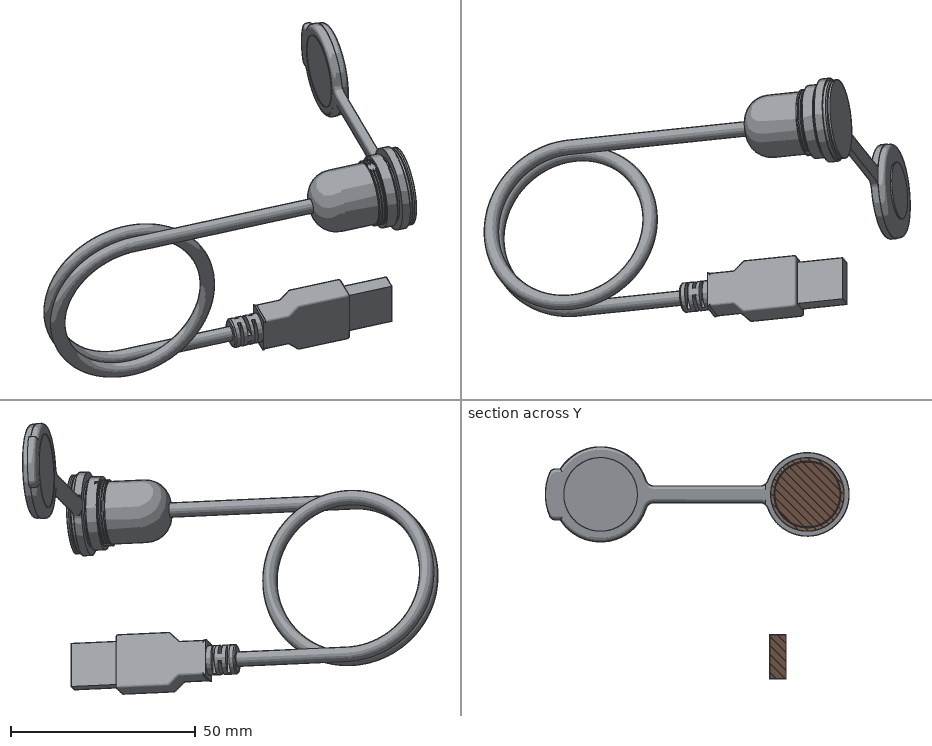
import cadquery as cq
import math


rim_front_y = -0.4
seam_y = -1.3
ring_front_y = -2.4
ring_back_y = -4.7
nut_front_y = -5.6
nut_back_y = -8.5
thread_end_y = -10.5
dome_start_y = -20.1
dome_end_y = -26.9
cable_end_y = -101.3

flange_diameter = 21.5
gasket_diameter = 21.6
seam_chamfer = 0.35
thread_diameter = 18.0
thread_root_diameter = 17.6
thread_turns = 8
thread_flat_gap = 17.5
nut_diameter = 20.0
nut_notch_width = 0.9
nut_notch_depth = 0.9
nut_notch_length = 1.0
nut_notch_angle = 45
boot_diameter = 17.0

cable_diameter = 4.0
cable_seat_depth = 2.0
coil_radius = 22.0
coil_turns = 1.5
coil_centre_y = cable_end_y + coil_radius + cable_diameter / 2
plug_x = -8.0
plug_z = -2 * coil_radius

cap_x = -56.0
cap_diameter = 25.8
cap_rim_diameter = 25.5
cap_rim_fillet = 1.0
cap_plug_diameter = 15.5
cap_badge_diameter = 20.0
cap_badge_depth = 0.2
tab_radius = 15.0
tab_width = 13.9
tab_corner_radius = 1.8
strap_width = 4.6
strap_flare_radius = 2.2
plate_fillet = 1.1
ring_diameter = 22.7

shell_front_y = -1.6
grip_front_y = -14.3
taper_start_y = -29.1
taper_end_y = -31.8
lip_start_y = -38.5
grip_back_y = -39.2
relief_back_y = -47.2
shell_width = 4.5
shell_height = 12.0
grip_width = 8.0
grip_height = 15.1
grip_neck_height = 9.8
grip_fillet = 0.7
grip_lip_rise = 0.25
relief_diameter = 8.0
relief_web_width = 2.0
relief_slot_width = 0.9
relief_slots_y = (-41.1, -43.1, -45.2)
relief_edge_chamfer = 0.4


def plane_at(y, x=0, z=0):
    """Plane facing +Y, with local axes (X, -Z)."""
    return cq.Workplane(cq.Plane(origin=(x, y, z), xDir=(1, 0, 0), normal=(0, 1, 0)))


def disc(diameter, front_y, back_y, x=0, z=0):
    """Cylinder along Y between two stations."""
    return plane_at(back_y, x, z).circle(diameter / 2).extrude(front_y - back_y)


def block(x_size, z_size, front_y, back_y, x=0, z=0):
    """Box centred on (x, z) between two stations along Y."""
    return plane_at(back_y, x, z).rect(x_size, z_size).extrude(front_y - back_y)


def make_tether_plate():
    tab = disc(2 * tab_radius, ring_front_y, ring_back_y, cap_x).intersect(
        block(2 * tab_radius, tab_width, ring_front_y, ring_back_y, cap_x - tab_radius)
    )
    tab = tab.edges("|Y").edges("<X").fillet(tab_corner_radius)

    strap = block(-cap_x, strap_width, ring_front_y, ring_back_y, cap_x / 2)
    cap_disc = disc(cap_diameter, ring_front_y, ring_back_y, cap_x)
    ring = disc(ring_diameter, ring_front_y, ring_back_y)
    plate = cap_disc.union(strap).union(ring)
    plate = plate.edges("|Y").edges(
        cq.selectors.BoxSelector(
            (cap_x, ring_back_y, -strap_width), (0, ring_front_y, strap_width)
        )
    ).fillet(strap_flare_radius)
    plate = plate.union(tab)

    ring_box = block(ring_diameter, 2 * ring_diameter, ring_front_y, ring_back_y)
    ring_part = plate.intersect(ring_box)
    cap_part = plate.cut(ring_box)
    cap_part = cap_part.faces("<Y").edges("not >X").fillet(plate_fillet)
    return cap_part.union(ring_part)


def make_cap():
    rim = disc(cap_rim_diameter, rim_front_y, ring_front_y, cap_x).faces(">Y").edges().fillet(cap_rim_fillet)
    plug_face = disc(cap_plug_diameter, 0, rim_front_y, cap_x)
    badge_recess = disc(cap_badge_diameter, ring_back_y + cap_badge_depth, ring_back_y, cap_x)
    socket_hole = disc(thread_diameter, ring_front_y, ring_back_y)
    return make_tether_plate().union(rim).union(plug_face).cut(badge_recess).cut(socket_hole)


def make_housing():
    flange = disc(flange_diameter, rim_front_y, seam_y).faces("<Y").edges().chamfer(seam_chamfer)

    pitch = (ring_back_y - thread_end_y) / thread_turns
    crest = thread_diameter / 2
    root = thread_root_diameter / 2
    barrel = cq.Workplane("XY").moveTo(0, seam_y).lineTo(crest, seam_y).lineTo(crest, ring_back_y)
    for turn in range(thread_turns):
        turn_y = ring_back_y - turn * pitch
        barrel = barrel.lineTo(root, turn_y - pitch / 2).lineTo(crest, turn_y - pitch)
    barrel = barrel.lineTo(0, thread_end_y).close().revolve(360, (0, 0, 0), (0, 1, 0))

    flat_gauge = block(2 * thread_diameter, thread_flat_gap, ring_back_y, thread_end_y)
    plain_neck = disc(thread_diameter, seam_y, ring_back_y)
    return barrel.intersect(flat_gauge.union(plain_neck)).union(flange)


def make_gasket():
    gasket = disc(gasket_diameter, seam_y, ring_front_y).faces(">Y").edges().chamfer(seam_chamfer)
    return gasket.cut(disc(thread_diameter, seam_y, ring_front_y))


def make_nut():
    nut = disc(nut_diameter, nut_front_y, nut_back_y)
    notch = block(
        nut_notch_width,
        2 * nut_notch_depth,
        nut_back_y + nut_notch_length,
        nut_back_y,
        z=nut_diameter / 2,
    ).rotate((0, 0, 0), (0, 1, 0), -nut_notch_angle)
    return nut.cut(disc(thread_diameter, nut_front_y, nut_back_y)).cut(notch)


def make_boot():
    radius = boot_diameter / 2
    dome_radius = dome_start_y - dome_end_y
    flat_radius = radius - dome_radius
    arc_middle = (
        flat_radius + dome_radius * math.cos(math.pi / 4),
        dome_start_y - dome_radius * math.sin(math.pi / 4),
    )
    boot = (
        cq.Workplane("XY")
        .moveTo(0, thread_end_y)
        .lineTo(radius, thread_end_y)
        .lineTo(radius, dome_start_y)
        .threePointArc(arc_middle, (flat_radius, dome_end_y))
        .lineTo(0, dome_end_y)
        .close()
        .revolve(360, (0, 0, 0), (0, 1, 0))
    )
    return boot.cut(disc(cable_diameter, dome_end_y + cable_seat_depth, dome_end_y))


def make_cable():
    coil_width = -plug_x
    helix = cq.Wire.makeHelix(coil_width / coil_turns, coil_width, coil_radius, lefthand=True)
    coil_plane = cq.Plane(origin=(0, coil_centre_y, -coil_radius), xDir=(0, 0, 1), normal=(-1, 0, 0))
    path = cq.Workplane(obj=helix.located(cq.Location(coil_plane)))
    coil = plane_at(coil_centre_y).circle(cable_diameter / 2).sweep(path, isFrenet=True)
    socket_lead = disc(cable_diameter, dome_end_y + cable_seat_depth, coil_centre_y)
    plug_lead = disc(cable_diameter, relief_back_y, coil_centre_y, plug_x, plug_z)
    return coil.union(socket_lead).union(plug_lead)


def make_plug_grip():
    half = grip_height / 2
    neck_half = grip_neck_height / 2
    grip = (
        cq.Workplane("YZ", origin=(plug_x, 0, plug_z))
        .polyline(
            [
                (grip_front_y, half),
                (taper_start_y, half),
                (taper_end_y, neck_half),
                (lip_start_y, neck_half),
                (lip_start_y, -neck_half),
                (taper_end_y, -neck_half),
                (taper_start_y, -half),
                (grip_front_y, -half),
            ]
        )
        .close()
        .extrude(grip_width / 2, both=True)
    )
    grip = grip.edges("not <Y").fillet(grip_fillet)

    lip_length = lip_start_y - grip_back_y
    lip_angle = math.degrees(math.atan2(grip_lip_rise, lip_length))
    grip = grip.faces("<Y").wires().toPending().workplane().extrude(lip_length, taper=-lip_angle)
    grip = grip.intersect(block(grip_width, grip_height, grip_front_y, grip_back_y, plug_x, plug_z))

    relief = disc(relief_diameter, grip_back_y, relief_back_y, plug_x, plug_z)
    relief = relief.faces("<Y").edges().chamfer(relief_edge_chamfer)
    for index, slot_y in enumerate(relief_slots_y):
        slot_front = slot_y + relief_slot_width / 2
        slot_back = slot_y - relief_slot_width / 2
        slot = block(2 * relief_diameter, 2 * relief_diameter, slot_front, slot_back, plug_x, plug_z)
        if index % 2 == 0:
            web_size = (relief_web_width, relief_diameter)
        else:
            web_size = (relief_diameter, relief_web_width)
        web = block(*web_size, slot_front, slot_back, plug_x, plug_z)
        relief = relief.cut(slot.cut(web))
    return grip.union(relief)


def make_plug_shell():
    return block(shell_width, shell_height, shell_front_y, grip_front_y, plug_x, plug_z)


cap = make_cap()
housing = make_housing()
gasket = make_gasket()
nut = make_nut()
boot = make_boot()
cable = make_cable()
plug_grip = make_plug_grip()
plug_shell = make_plug_shell()

bodies = [cap, housing, gasket, nut, boot, cable, plug_grip, plug_shell]
result = cq.Compound.makeCompound([body.solids().val() for body in bodies])